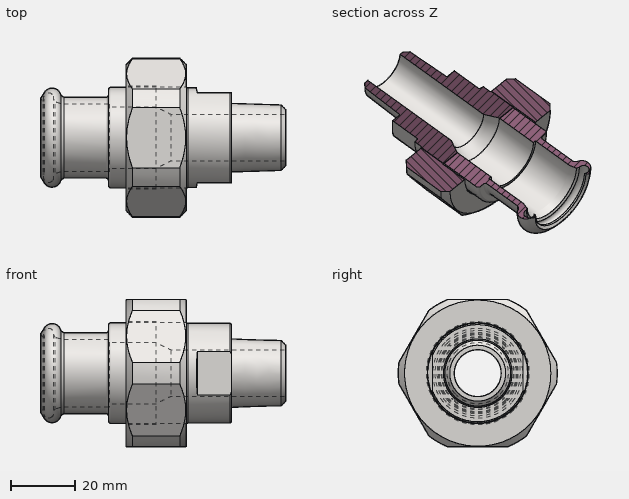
import cadquery as cq
import math

overall_length = 76.5

tube_radius = 25.3 / 2
collar_radius = 31.5 / 2
bead_center_x = 3.6
bead_outer_radius = 31.0 / 2
bead_round = 2.8
bead_front_x = 1.0
bead_back_x = 6.35
bead_root_x = 6.8
bead_root_radius = 12.9
bead_end_x = 7.3
mouth_radius = 12.3
lip_radius = 22.8 / 2
lip_start_x = 0.7
groove_start_x = 1.3
groove_end_x = 4.05
groove_end_radius = 12.0
socket_entry_x = 4.5
groove_top_x = 3.0
groove_top_radius = 13.9
socket_entry_radius = 22.3 / 2
socket_radius = 21.0 / 2
socket_start_x = 6.8
socket_floor_x = 21.4
collar_x = 21.1
collar_root_round = 0.7
collar_edge_round = 0.9

nut_start_x = 26.6
nut_end_x = 45.45
nut_across_flats = 46.0
nut_corner_radius = 49.65 / 2
nut_face_radius = 45.6 / 2
nut_entry_radius = 16.1
joint_x = (nut_start_x + nut_end_x) / 2

tail_radius = 15.6
tail_seat_radius = 15.75
seat_taper_length = 0.45
passage_radius = 9.6
bore_radius = 14.5 / 2
funnel_length = 4.6
shoulder_x = 59.6
shoulder_chamfer = 0.45
flat_start_x = 48.9
flat_half_width = 14.1
flat_wall_angle = 12.5
neck_length = 0.45
thread_start_radius = 10.7
thread_end_radius = 10.25
thread_chamfer = 1.5


def revolve_x(profile):
    """Revolve a closed (x, radius) outline around the X axis."""
    return profile.close().revolve(360, (0, 0, 0), (1, 0, 0))


def cylinder_x(radius, start_x, end_x):
    return cq.Workplane("YZ").workplane(offset=start_x).circle(radius).extrude(end_x - start_x)


def make_socket():
    """Press-fit tube end with a rolled sealing bead and a collar that enters the nut."""
    bead_center_radius = bead_outer_radius - bead_round

    def bead_radius_at(x):
        return bead_center_radius + math.sqrt(bead_round**2 - (x - bead_center_x) ** 2)

    diagonal = math.sqrt(0.5)
    root_mid = (
        collar_x - collar_root_round * (1 - diagonal),
        tube_radius + collar_root_round * (1 - diagonal),
    )
    edge_mid = (
        collar_x + collar_edge_round * (1 - diagonal),
        collar_radius - collar_edge_round * (1 - diagonal),
    )
    profile = (
        cq.Workplane("XY")
        .moveTo(0, mouth_radius)
        .lineTo(bead_front_x, bead_radius_at(bead_front_x))
        .threePointArc((bead_center_x, bead_outer_radius), (bead_back_x, bead_radius_at(bead_back_x)))
        .lineTo(bead_root_x, bead_root_radius)
        .tangentArcPoint((bead_end_x, tube_radius), relative=False)
        .lineTo(collar_x - collar_root_round, tube_radius)
        .threePointArc(root_mid, (collar_x, tube_radius + collar_root_round))
        .lineTo(collar_x, collar_radius - collar_edge_round)
        .threePointArc(edge_mid, (collar_x + collar_edge_round, collar_radius))
        .lineTo(joint_x, collar_radius)
        .lineTo(joint_x, passage_radius)
        .lineTo(socket_floor_x, passage_radius)
        .lineTo(socket_floor_x, socket_radius)
        .lineTo(socket_start_x, socket_radius)
        .lineTo(socket_entry_x, socket_entry_radius)
        .lineTo(groove_end_x, groove_end_radius)
        .threePointArc((groove_top_x, groove_top_radius), (groove_start_x, lip_radius))
        .lineTo(lip_start_x, lip_radius)
    )
    return revolve_x(profile)


def make_nut():
    """Hexagonal nut with rounded corners, 45 degree end chamfers and a stepped bore."""
    across_corners = nut_across_flats / math.cos(math.pi / 6)
    hexagon = (
        cq.Workplane("YZ")
        .workplane(offset=nut_start_x)
        .polygon(6, across_corners)
        .extrude(nut_end_x - nut_start_x)
    )
    corner_chamfer = nut_corner_radius - nut_face_radius
    corner_limit = cylinder_x(nut_corner_radius, nut_start_x, nut_end_x).edges().chamfer(corner_chamfer)
    entry_bore = cylinder_x(nut_entry_radius, nut_start_x, joint_x)
    tail_bore = cylinder_x(tail_seat_radius, joint_x, nut_end_x)
    return hexagon.intersect(corner_limit).cut(entry_bore).cut(tail_bore)


def make_wrench_cut():
    """Material removed above the +Y wrench flat, with a slightly leaning end wall."""
    cut_height = tail_radius
    lean = cut_height * math.tan(math.radians(flat_wall_angle))
    return (
        cq.Workplane("XY")
        .moveTo(flat_start_x, flat_half_width)
        .lineTo(flat_start_x - lean, flat_half_width + cut_height)
        .lineTo(overall_length, flat_half_width + cut_height)
        .lineTo(overall_length, flat_half_width)
        .close()
        .extrude(tail_radius, both=True)
    )


def make_tailpiece():
    """Round shoulder with two wrench flats and a tapered male end."""
    profile = (
        cq.Workplane("XY")
        .moveTo(joint_x, passage_radius)
        .lineTo(joint_x, tail_seat_radius)
        .lineTo(nut_end_x, tail_seat_radius)
        .lineTo(nut_end_x + seat_taper_length, tail_radius)
        .lineTo(shoulder_x - shoulder_chamfer, tail_radius)
        .lineTo(shoulder_x, tail_radius - shoulder_chamfer)
        .lineTo(shoulder_x, thread_start_radius)
        .lineTo(shoulder_x + neck_length, thread_start_radius)
        .lineTo(overall_length - thread_chamfer, thread_end_radius)
        .lineTo(overall_length, thread_end_radius - thread_chamfer)
        .lineTo(overall_length, bore_radius)
        .lineTo(joint_x + funnel_length, bore_radius)
    )
    wrench_cut = make_wrench_cut()
    return revolve_x(profile).cut(wrench_cut).cut(wrench_cut.mirror("XZ"))


socket = make_socket()
nut = make_nut()
tailpiece = make_tailpiece()

result = cq.Compound.makeCompound([socket.val(), nut.val(), tailpiece.val()])